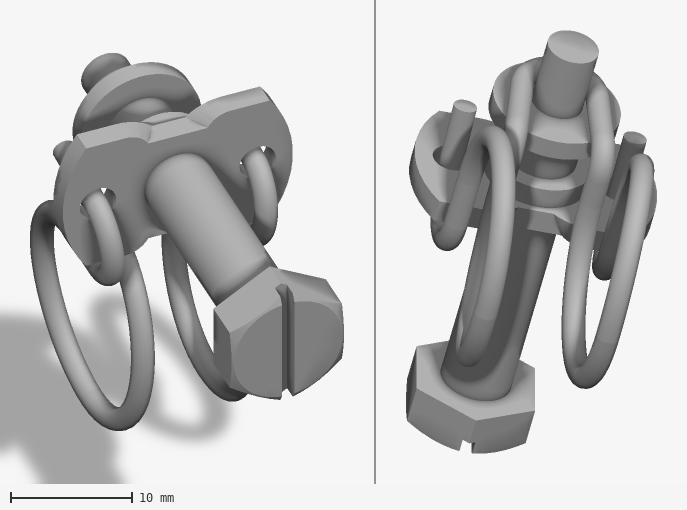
import cadquery as cq
import math


shank_radius = 3.0
tip_radius = 2.15
tip_start = -9.6
collar_start = -3.7
collar_thickness = 1.7
collar_radius = 5.4
head_start = 25.48
head_height = 4.0
head_across_flats = 10.0
head_crown_radius = 4.85
head_crown_angle = 30
slot_width = 1.1
slot_depth = 1.58

plate_start = 3.85
plate_thickness = 2.0
plate_radius = 10.25
plate_half_height = 6.2
neck_half_height = 5.0
ear_corner = 4.7
notch_front_radius = 5.0
notch_back_radius = 2.35
boss_radius = 4.45
boss_thickness = 1.85
wire_hole_radius = 1.6
cut_margin = 0.4

wire_radius = 1.0
ring_radius = 9.0
ring_top = -7.6
lean = math.radians(4.4)
loop_radius = 3.2
loop_x = -4.75
bend_radius = 2.0
hook_start = 4.6
hook_radius = 3.65
end_slope = math.radians(7)
end_x = -1.3

leg_foot_y = (loop_radius - ring_top * math.sin(lean)) / math.cos(lean)
ring_shift = 2 * ring_radius * math.sin(lean)
hook_foot_y = leg_foot_y + 2 * ring_shift


def x_cylinder(radius, start, length):
    return cq.Workplane("YZ", origin=(start, 0, 0)).circle(radius).extrude(length)


def make_head():
    corner_diameter = head_across_flats / math.cos(math.pi / 6)
    corner_radius = corner_diameter / 2
    head_end = head_start + head_height
    crown_drop = (corner_radius - head_crown_radius) * math.tan(math.radians(head_crown_angle))
    head = (
        cq.Workplane("YZ", origin=(head_start, 0, 0))
        .transformed(rotate=(0, 0, 90))
        .polygon(6, corner_diameter)
        .extrude(head_height)
    )
    crown = (
        cq.Workplane("XY")
        .moveTo(head_start, 0)
        .lineTo(head_start, corner_radius)
        .lineTo(head_end - crown_drop, corner_radius)
        .lineTo(head_end, head_crown_radius)
        .lineTo(head_end, 0)
        .close()
        .revolve(360, (0, 0, 0), (1, 0, 0))
    )
    slot = cq.Workplane("XY").box(slot_depth, slot_width, corner_diameter)
    return head.intersect(crown).cut(slot.translate((head_end - slot_depth / 2, 0, 0)))


def make_screw():
    tip = x_cylinder(tip_radius, tip_start, collar_start - tip_start)
    collar = x_cylinder(collar_radius, collar_start, collar_thickness)
    shank = x_cylinder(shank_radius, collar_start, head_start - collar_start)
    return shank.union(collar).union(tip).union(make_head())


def notch_outline(plane, radius):
    """Notch section whose round sides run tangent into the top edge of the ears."""
    turn = math.acos(1 - (plate_half_height - neck_half_height) / radius)

    def side_point(side, angle):
        y = ear_corner - radius * math.sin(angle)
        return (side * y, plate_half_height - radius * (1 - math.cos(angle)))

    above = plate_half_height + cut_margin
    return (
        plane.moveTo(-ear_corner, above)
        .lineTo(-ear_corner, plate_half_height)
        .threePointArc(side_point(-1, turn / 2), side_point(-1, turn))
        .lineTo(*side_point(1, turn))
        .threePointArc(side_point(1, turn / 2), (ear_corner, plate_half_height))
        .lineTo(ear_corner, above)
        .close()
    )


def make_notch():
    front = notch_outline(cq.Workplane("YZ", origin=(plate_start, 0, 0)), notch_front_radius)
    back_plane = front.workplane(offset=plate_thickness)
    return notch_outline(back_plane, notch_back_radius).loft(ruled=True)


def make_plate():
    plate = x_cylinder(plate_radius, plate_start, plate_thickness)
    band = (
        cq.Workplane("YZ", origin=(plate_start, 0, 0))
        .rect(2 * plate_radius, 2 * plate_half_height)
        .extrude(plate_thickness)
    )
    plate = plate.intersect(band)
    notch = make_notch()
    for angle in (0, 180):
        plate = plate.cut(notch.rotate((0, 0, 0), (1, 0, 0), angle))
    boss_start = plate_start - boss_thickness
    plate = plate.union(x_cylinder(boss_radius, boss_start, boss_thickness))
    plate = plate.cut(x_cylinder(shank_radius, boss_start, boss_thickness + plate_thickness))
    hole_y = hook_foot_y + 2 * hook_radius * math.sin(lean)
    for side in (-1, 1):
        hole = x_cylinder(wire_hole_radius, plate_start, plate_thickness)
        plate = plate.cut(hole.translate((0, side * hole_y, 0)))
    return plate


def inner_point(x, rise):
    """Point on the leaning plane of the leg and the first half of the ring."""
    return cq.Vector(x, leg_foot_y - rise * math.sin(lean), ring_top + rise * math.cos(lean))


def outer_point(x, rise):
    """Point on the opposite leaning plane of the hook, rising from the outer straight."""
    return cq.Vector(x, hook_foot_y + rise * math.sin(lean), ring_top + rise * math.cos(lean))


def mirrored(point):
    return cq.Vector(point.x, -point.y, point.z)


def line_through(points):
    return cq.Edge.makeLine(*points)


def arc_through(points):
    return cq.Edge.makeThreePointArc(*points)


def side_path():
    """Stretches of one half of the wire, from its free end to the loop over the tip."""
    hook_end_x = hook_start + hook_radius * math.sin(end_slope)
    hook_end_rise = hook_radius * (1 + math.cos(end_slope))
    end_rise = hook_end_rise + (hook_end_x - end_x) * math.tan(end_slope)
    hook_end = outer_point(hook_end_x, hook_end_rise)
    hook_foot = outer_point(hook_start, 0)
    outer_top = outer_point(0, 0)
    ring_bottom = inner_point(0, -2 * ring_radius)
    inner_top = inner_point(0, 0)
    bend_end = inner_point(loop_x + bend_radius, 0)
    bend_top = inner_point(loop_x, bend_radius)
    bend_inset = bend_radius * (1 - math.sqrt(0.5))
    leg_top = cq.Vector(loop_x, loop_radius * math.cos(lean), loop_radius * math.sin(lean))
    return [
        (outer_point(end_x, end_rise), hook_end),
        (hook_end, outer_point(hook_start + hook_radius, hook_radius), hook_foot),
        (hook_foot, outer_top),
        (outer_top, outer_point(-ring_radius, -ring_radius), ring_bottom),
        (ring_bottom, inner_point(ring_radius, -ring_radius), inner_top),
        (inner_top, bend_end),
        (bend_end, inner_point(loop_x + bend_inset, bend_inset), bend_top),
        (bend_top, leg_top),
    ]


def make_wire():
    half = side_path()
    leg_top = half[-1][-1]
    loop = (leg_top, cq.Vector(loop_x, 0, loop_radius), mirrored(leg_top))
    other_half = [tuple(mirrored(p) for p in reversed(points)) for points in reversed(half)]
    stretches = half + [loop] + other_half
    edges = [line_through(s) if len(s) == 2 else arc_through(s) for s in stretches]
    path = cq.Wire.assembleEdges(edges)
    free_end, first_bend = half[0]
    section = cq.Plane(origin=free_end, normal=first_bend - free_end)
    return cq.Workplane(section).circle(wire_radius).sweep(cq.Workplane(path))


screw = make_screw()
plate = make_plate()
wire = make_wire()

result = cq.Compound.makeCompound([screw.solids().val(), plate.solids().val(), wire.val()])